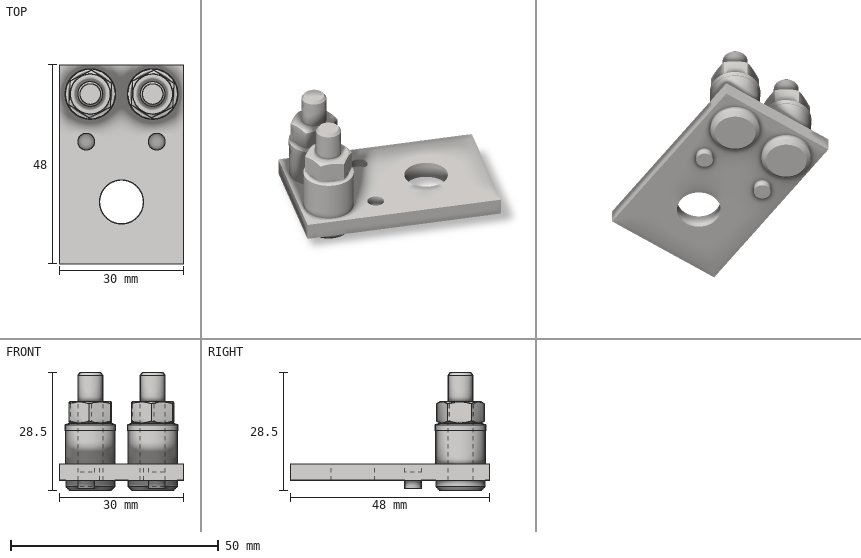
import cadquery as cq
import math

plate_width = 30.0
plate_length = 48.0
plate_thickness = 4.0
large_hole_diameter = 10.5
large_hole_from_back = 33.0

pin_diameter = 4.05
pin_length = 2.0
pin_spacing = 17.0
pin_from_back = 18.5

overall_height = 28.5
bolt_spacing = 15.0
bolt_from_back = 7.0
shank_diameter = 6.0
tip_chamfer_width = 0.55
tip_chamfer_height = 0.7
head_diameter = 11.85
head_height = 2.5
head_chamfer = 1.0

sleeve_diameter = 12.0
sleeve_height = 8.0

washer_diameter = 12.2
washer_height = 1.75
washer_rim_height = 1.4
washer_face_diameter = 10.05

nut_across_flats = 10.0
nut_height = 5.3
nut_face_diameter = 9.6
nut_chamfer_angle = 30.0
nut_turn = -3.2

back_edge = plate_length / 2
bolt_y = back_edge - bolt_from_back
bolt_places = [(side * bolt_spacing / 2, bolt_y) for side in (-1, 1)]
pin_y = back_edge - pin_from_back
pin_places = [(side * pin_spacing / 2, pin_y) for side in (-1, 1)]
large_hole_place = (0, back_edge - large_hole_from_back)
sleeve_base = plate_thickness
washer_base = sleeve_base + sleeve_height
nut_base = washer_base + washer_height
bolt_tip = overall_height - head_height


def revolve_profile(points):
    """Solid of revolution about Z from (radius, height) points."""
    return cq.Workplane("XZ").polyline(points).close().revolve(360, (0, 0), (0, 1))


def bore(body):
    """Cut the clearance for the bolt shank right through a body on the Z axis."""
    cutter = cq.Workplane("XY").circle(shank_diameter / 2).extrude(overall_height, both=True)
    return body.cut(cutter)


def make_plate():
    plate = cq.Workplane("XY").box(
        plate_width, plate_length, plate_thickness, centered=(True, True, False)
    )
    through_cuts = (
        cq.Workplane("XY")
        .pushPoints(bolt_places)
        .circle(shank_diameter / 2)
        .pushPoints([large_hole_place])
        .circle(large_hole_diameter / 2)
        .extrude(plate_thickness)
    )
    pins = cq.Workplane("XY").pushPoints(pin_places).circle(pin_diameter / 2).extrude(-pin_length)
    recesses = pins.translate((0, 0, plate_thickness))
    return plate.cut(through_cuts).cut(recesses).union(pins)


def make_bolt():
    """Bolt with a chamfered round head below the plate and a chamfered tip."""
    head_radius = head_diameter / 2
    shank_radius = shank_diameter / 2
    return revolve_profile([
        (0, -head_height),
        (head_radius - head_chamfer, -head_height),
        (head_radius, head_chamfer - head_height),
        (head_radius, 0),
        (shank_radius, 0),
        (shank_radius, bolt_tip - tip_chamfer_height),
        (shank_radius - tip_chamfer_width, bolt_tip),
        (0, bolt_tip),
    ])


def make_sleeve():
    sleeve = cq.Workplane("XY").circle(sleeve_diameter / 2).extrude(sleeve_height)
    return bore(sleeve).translate((0, 0, sleeve_base))


def make_washer():
    """Washer whose top rises as a cone from its rim to a flat face under the nut."""
    washer = revolve_profile([
        (0, 0),
        (washer_diameter / 2, 0),
        (washer_diameter / 2, washer_rim_height),
        (washer_face_diameter / 2, washer_height),
        (0, washer_height),
    ])
    return bore(washer).translate((0, 0, washer_base))


def make_nut():
    """Hexagon nut with its corners chamfered at both ends."""
    corner_radius = nut_across_flats / math.sqrt(3)
    face_radius = nut_face_diameter / 2
    chamfer_height = (corner_radius - face_radius) * math.tan(math.radians(nut_chamfer_angle))
    hexagon = cq.Workplane("XY").polygon(6, 2 * corner_radius).extrude(nut_height)
    hexagon = hexagon.rotate((0, 0, 0), (0, 0, 1), 90 + nut_turn)
    chamfer_envelope = revolve_profile([
        (0, 0),
        (face_radius, 0),
        (corner_radius, chamfer_height),
        (corner_radius, nut_height - chamfer_height),
        (face_radius, nut_height),
        (0, nut_height),
    ])
    return bore(hexagon.intersect(chamfer_envelope)).translate((0, 0, nut_base))


bodies = [make_plate().solids().val()]
for x, y in bolt_places:
    for make_body in (make_bolt, make_sleeve, make_washer, make_nut):
        bodies.append(make_body().translate((x, y, 0)).solids().val())

result = cq.Compound.makeCompound(bodies)